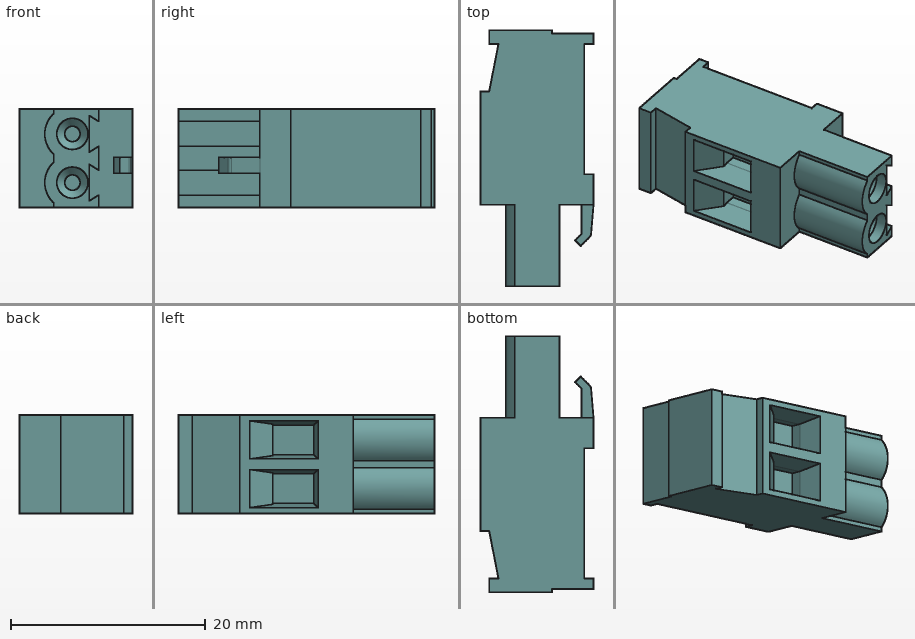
import cadquery as cq
import math


width = 11.62
length = 26.3
height = 10.12

pole_count = 2
pole_pitch = 5.0
pole_heights = [height / 2 + (i - (pole_count - 1) / 2) * pole_pitch for i in range(pole_count)]

housing_front_y = 8.35
housing_back_x = 10.67
foot_top_y = 11.52
shoulder_y = 20.0
label_slope_low_x = 0.9
label_slope_high_x = 1.85
flange_y = 24.85
flange_step_x = 7.35
flange_step_drop = 0.35

nose_left_x = 3.55
nose_right_x = 8.12
socket_x = 5.45
lobe_radius = 2.85

socket_radius = 1.6
socket_bottom_radius = 0.8
socket_straight_depth = 1.15
socket_cone_depth = 0.92

groove_floor_x = 7.18
groove_mouth_width = 2.58
groove_floor_width = 3.73

window_front_y = 11.95
window_back_y = 18.98
window_height = 3.92
window_funnel_depth = 2.55
window_depth = 3.68
window_taper = 10.0
ramp_depth = 1.97
ramp_end_y = 16.6

clip_bottom_z = 3.5
clip_height = 1.65
clip_inner_x = 10.35
clip_bend_y = 5.36
clip_hook_length = 0.92
clip_hook_thickness = 0.81
clip_outer_bend_x = 11.35
clip_outer_bend_radius = 0.53


def make_housing():
    outline = [
        (0, housing_front_y),
        (width, housing_front_y),
        (width, foot_top_y),
        (housing_back_x, foot_top_y),
        (housing_back_x, flange_y),
        (width, flange_y),
        (width, length - flange_step_drop),
        (flange_step_x, length - flange_step_drop),
        (flange_step_x, length),
        (label_slope_low_x, length),
        (label_slope_low_x, flange_y),
        (label_slope_high_x, flange_y),
        (label_slope_low_x, shoulder_y),
        (0, shoulder_y),
    ]
    return cq.Workplane("XY").polyline(outline).close().extrude(height)


def make_nose():
    """Rectangular core with one round lobe around each socket."""
    core = cq.Workplane("XY").box(
        nose_right_x - nose_left_x, housing_front_y, height, centered=False
    ).translate((nose_left_x, 0, 0))
    for z in pole_heights:
        lobe = (
            cq.Workplane("XZ")
            .center(socket_x, z)
            .circle(lobe_radius)
            .extrude(-housing_front_y)
        )
        left_half = cq.Workplane("XY").box(
            socket_x, housing_front_y, height, centered=False
        )
        core = core.union(lobe.intersect(left_half))
    return core


def make_socket(z):
    """Cutter revolved about the socket axis, which runs along Y."""
    bottom_y = socket_straight_depth + socket_cone_depth
    return (
        cq.Workplane("XY", origin=(socket_x, 0, z))
        .polyline([
            (0, 0),
            (socket_radius, 0),
            (socket_radius, socket_straight_depth),
            (socket_bottom_radius, bottom_y),
            (0, bottom_y),
        ])
        .close()
        .revolve(360, (0, 0), (0, 1))
    )


def make_groove(z):
    """Dovetail cutter, wider at its floor than at its mouth."""
    return (
        cq.Workplane("XZ")
        .polyline([
            (nose_right_x, z - groove_mouth_width / 2),
            (nose_right_x, z + groove_mouth_width / 2),
            (groove_floor_x, z + groove_floor_width / 2),
            (groove_floor_x, z - groove_floor_width / 2),
        ])
        .close()
        .extrude(-housing_front_y)
    )


def make_window(z):
    """Pocket cutter: a tapered funnel, then a straight well; the +Y end is a ramp and a square wall."""
    window_length = window_back_y - window_front_y
    taper_inset = window_funnel_depth * math.tan(math.radians(window_taper))
    funnel = (
        cq.Workplane("YZ")
        .center((window_front_y + window_back_y) / 2, z)
        .rect(window_length, window_height)
        .extrude(window_funnel_depth, taper=window_taper)
    )
    well = (
        cq.Workplane("YZ")
        .center((window_front_y + window_back_y) / 2, z)
        .rect(window_length - 2 * taper_inset, window_height - 2 * taper_inset)
        .extrude(window_depth - window_funnel_depth)
        .translate((window_funnel_depth, 0, 0))
    )
    ramp_limit = (
        cq.Workplane("XY", origin=(0, 0, z - window_height / 2))
        .polyline([
            (0, window_front_y),
            (0, window_back_y),
            (ramp_depth, ramp_end_y),
            (window_depth, ramp_end_y),
            (window_depth, window_front_y),
        ])
        .close()
        .extrude(window_height)
    )
    return funnel.union(well).intersect(ramp_limit)


def make_clip():
    """Tapering arm ending in a hook bent 45 degrees toward the nose."""
    hook_run = clip_hook_length * math.sqrt(0.5)
    tip_run = clip_hook_thickness * math.sqrt(0.5)
    hook_x = clip_inner_x - hook_run
    hook_y = clip_bend_y - hook_run
    tip_x = hook_x + tip_run
    tip_y = hook_y - tip_run
    outer_bend_y = tip_y + clip_outer_bend_x - tip_x
    clip = (
        cq.Workplane("XY", origin=(0, 0, clip_bottom_z))
        .polyline([
            (clip_inner_x, housing_front_y),
            (clip_inner_x, clip_bend_y),
            (hook_x, hook_y),
            (tip_x, tip_y),
            (clip_outer_bend_x, outer_bend_y),
            (width, housing_front_y),
        ])
        .close()
        .extrude(clip_height)
    )
    outer_bend = cq.selectors.NearestToPointSelector(
        (clip_outer_bend_x, outer_bend_y, clip_bottom_z + clip_height / 2)
    )
    return clip.edges("|Z").edges(outer_bend).fillet(clip_outer_bend_radius)


result = make_housing().union(make_nose()).union(make_clip())
for pole_z in pole_heights:
    result = result.cut(make_socket(pole_z))
    result = result.cut(make_groove(pole_z))
    result = result.cut(make_window(pole_z))